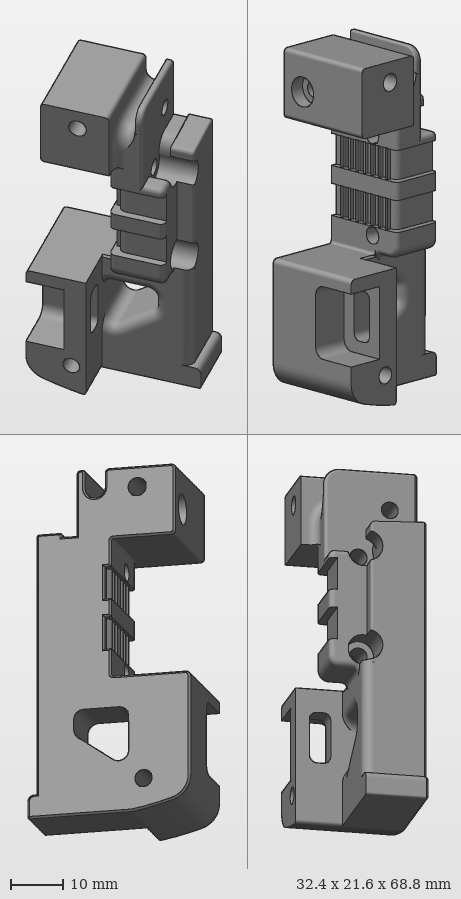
import cadquery as cq
import math

DEPTH = 21.6
HEIGHT = 68.75
FOOT_RIGHT = 32.4
BACK_CHAMFER = 0.4
OVERLAP = 1.0

UPPER_SIZE = 14.0
UPPER_LEFT = 3.0
UPPER_RIGHT = UPPER_LEFT + UPPER_SIZE
UPPER_BOTTOM = HEIGHT - UPPER_SIZE
UPPER_ROUND = 0.85
UPPER_PIN_X = 10.55
UPPER_PIN_Z = 64.65
UPPER_PIN_DIA = 3.6
CLAMP_Y = 16.2
CLAMP_Z = 61.0
CLAMP_DIA = 3.3
CLAMP_HEAD_DIA = 6.0
CLAMP_HEAD_DEPTH = 3.0

COLUMN_LEFT = 15.8
COLUMN_RIGHT = 27.0
COLUMN_FRONT = 3.4
COLUMN_BOTTOM = 27.4
COLUMN_ROUND = 1.1
COLUMN_NOSE_RADIUS = 2.2
ROOT_RADIUS = 1.3
CORNER_RADIUS = 0.6
SHOULDER_TOP = 50.9

MID_Z = 41.0
RIB_HALF = 1.8
BAY_TOP_OFFSET = 8.2
BAY_HEIGHT = BAY_TOP_OFFSET - RIB_HALF
BAY_FRONT = 4.85
BAY_LEFT = 17.1
BAY_ROUND = 1.6
TOOTH_HEIGHT = 0.8
TOOTH_COUNT = 7
TOOTH_PITCH = 2.03
TOOTH_BASE = 1.4
TOOTH_CREST = 0.5
FIRST_TOOTH_Y = 18.55

BLADE_LEFT = 21.0
BLADE_RIGHT = 22.6
BLADE_CORNER = 3.0
BLADE_LEFT_ROUND = 0.45
BLADE_RIGHT_ROUND = 0.7
SADDLE_RADIUS = (BLADE_LEFT - UPPER_RIGHT) / 2
SADDLE_X = UPPER_RIGHT + SADDLE_RADIUS
SADDLE_BEND_Y = 7.5
SADDLE_BEND_Z = 59.0
SADDLE_FRONT = COLUMN_FRONT - SADDLE_RADIUS
SADDLE_BEND = SADDLE_BEND_Y - SADDLE_FRONT
SADDLE_CROWN = SADDLE_BEND_Z + SADDLE_BEND

RAIL_RIGHT = 30.55
WALL_FRONT = 9.25
RAIL_FRONT = 10.7
RAIL_ROUND = 0.45
RAIL_TOP = 56.55
RAIL_TOP_FRONT = 56.0
RAIL_TOP_ROUND = 0.85
LUG_LEFT = 25.55
WALL_ROUND = 2.0
STEP_FRONT = 12.8
STEP_TOP = 55.7
STEP_ROUND = 3.0
SCREW_Y = 10.0
SCREW_OFFSET = 10.0
SCREW_DIA = 3.4
SCREW_HEAD_DIA = 6.0

LOWER_RIGHT = 12.25
LOWER_TOP = 27.25
LOWER_ROUND = 1.0
CHIN_TOP = 6.5
CHIN_X = 3.5
CHIN_Z = 1.8
CHIN_END_X = 11.6
LOWER_TOE_ROUND = 0.6
LEDGE_CHAMFER = 0.4
LOWER_PIN_X = 9.3
LOWER_PIN_Z = 6.4
LOWER_PIN_DIA = 3.4
FOOT_HEIGHT = 4.75
FOOT_ROUND = 1.3
FOOT_TOE_ROUND = 0.4
POCKET_DEPTH_X = 7.75
POCKET_BACK = 9.65
POCKET_BOTTOM = 9.9
POCKET_TOP = 24.45
POCKET_ROUND = 2.15
SLOT_Y = 4.85
SLOT_Z = 17.5
SLOT_WIDTH = 4.2
SLOT_HEIGHT = 10.2
SLOT_ROUND = 1.5
WINDOW_CENTRES = [(14.25, 12.25), (14.25, 19.0), (21.2, 19.0), (21.2, 17.1)]
WINDOW_RADIUS = 2.0
WINDOW_FLARE = 2.05


def box(x0, x1, y0, y1, z0, z1):
    """Axis-aligned box between two corners."""
    return cq.Workplane("XY").box(x1 - x0, y1 - y0, z1 - z0, centered=False).translate((x0, y0, z0))


def rod_x(dia, y, z, x0, x1):
    """Round bar along X."""
    return cq.Workplane("YZ", origin=(x0, y, z)).circle(dia / 2).extrude(x1 - x0)


def rod_y(dia, x, z):
    """Round bar along Y through the full depth."""
    return cq.Workplane("XZ", origin=(x, 0, z)).circle(dia / 2).extrude(-DEPTH)


def upper_block():
    block = box(UPPER_LEFT, UPPER_RIGHT, 0, DEPTH, UPPER_BOTTOM, HEIGHT)
    return block.edges("|Y").edges("<X or >Z").fillet(UPPER_ROUND)


def blade():
    """Thin upright plate; it also forms the right part of the upper column."""
    plate = box(BLADE_LEFT, BLADE_RIGHT, COLUMN_FRONT, DEPTH, SHOULDER_TOP - COLUMN_ROUND, HEIGHT)
    plate = plate.edges("|X and >Z and <Y").fillet(BLADE_CORNER)
    plate = plate.edges(">X").edges("not(<Z or >Y)").fillet(BLADE_RIGHT_ROUND)
    crest = plate.edges("<X").edges("not(<Z or >Y)")
    return crest.fillet(BLADE_LEFT_ROUND)


def saddle_line(x, bottom):
    """Open line at x: up the front from bottom, round the bend, and back along the crown."""
    diagonal = SADDLE_BEND * math.sqrt(0.5)
    bend_middle = (SADDLE_BEND_Y - diagonal, SADDLE_BEND_Z + diagonal)
    return (
        cq.Workplane("YZ", origin=(x, 0, 0))
        .moveTo(SADDLE_FRONT, bottom)
        .lineTo(SADDLE_FRONT, SADDLE_BEND_Z)
        .threePointArc(bend_middle, (SADDLE_BEND_Y, SADDLE_CROWN))
        .lineTo(DEPTH, SADDLE_CROWN)
    )


def saddle():
    """Web between upper block and blade with a half-round trough rolling over its front."""
    floor = UPPER_BOTTOM - CORNER_RADIUS
    left = COLUMN_LEFT + COLUMN_ROUND
    web = (
        saddle_line(left, UPPER_BOTTOM)
        .lineTo(DEPTH, floor)
        .lineTo(COLUMN_FRONT, floor)
        .radiusArc((COLUMN_FRONT - CORNER_RADIUS, UPPER_BOTTOM), -CORNER_RADIUS)
        .close()
        .extrude(BLADE_LEFT + BLADE_LEFT_ROUND - left)
    )
    trough = (
        cq.Workplane("XY", origin=(SADDLE_X, SADDLE_FRONT, floor))
        .circle(SADDLE_RADIUS)
        .sweep(saddle_line(SADDLE_X, floor))
    )
    flush = box(SADDLE_X, BLADE_RIGHT, 0, COLUMN_FRONT, floor, SADDLE_CROWN)
    return web.cut(trough).cut(flush)


def column():
    """Main column with rounded side edges running down and under its nose."""
    nose = COLUMN_NOSE_RADIUS
    body = (
        cq.Workplane("YZ", origin=(COLUMN_LEFT, 0, 0))
        .moveTo(COLUMN_FRONT, SHOULDER_TOP)
        .lineTo(COLUMN_FRONT, COLUMN_BOTTOM + nose)
        .radiusArc((COLUMN_FRONT + nose, COLUMN_BOTTOM), -nose)
        .lineTo(WALL_FRONT - ROOT_RADIUS, COLUMN_BOTTOM)
        .radiusArc((WALL_FRONT, COLUMN_BOTTOM - ROOT_RADIUS), ROOT_RADIUS)
        .lineTo(DEPTH, COLUMN_BOTTOM - ROOT_RADIUS)
        .lineTo(DEPTH, SHOULDER_TOP)
        .close()
        .extrude(COLUMN_RIGHT - COLUMN_LEFT)
    )
    side_edges = body.edges("<X or >X").edges("not(<Z or >Z or >Y)")
    body = side_edges.fillet(COLUMN_ROUND)
    body = body.faces(">Z").edges("<Y").fillet(COLUMN_ROUND)
    neck = box(COLUMN_LEFT, BLADE_RIGHT - BLADE_RIGHT_ROUND, COLUMN_FRONT, DEPTH,
               MID_Z + BAY_TOP_OFFSET, UPPER_BOTTOM + UPPER_ROUND)
    neck = neck.edges("|Z and <X and <Y").fillet(COLUMN_ROUND)
    return body.union(neck)


def left_corner_fill(z, up, front):
    """Concave round between the left face of the column and a block face at height z."""
    tip = z + up * CORNER_RADIUS
    inside = COLUMN_LEFT + COLUMN_ROUND
    return (
        cq.Workplane("XZ", origin=(0, front, 0))
        .moveTo(COLUMN_LEFT - CORNER_RADIUS, z)
        .radiusArc((COLUMN_LEFT, tip), -up * CORNER_RADIUS)
        .lineTo(inside, tip)
        .lineTo(inside, z)
        .close()
        .extrude(front - DEPTH)
    )


def corner_fills():
    """Rounds above the lower block and below the upper one, the latter turning the column's front edge."""
    turn_x = COLUMN_LEFT + COLUMN_ROUND
    turn_y = COLUMN_FRONT + COLUMN_ROUND
    tip = UPPER_BOTTOM - CORNER_RADIUS
    turn = (
        cq.Workplane("XZ", origin=(turn_x, turn_y, 0))
        .moveTo(-COLUMN_ROUND - CORNER_RADIUS, UPPER_BOTTOM)
        .radiusArc((-COLUMN_ROUND, tip), CORNER_RADIUS)
        .lineTo(0, tip)
        .lineTo(0, UPPER_BOTTOM)
        .close()
        .revolve(90, (0, 0, 0), (0, 1, 0))
    )
    upper = left_corner_fill(UPPER_BOTTOM, -1, turn_y)
    return turn.union(upper).union(left_corner_fill(LOWER_TOP, 1, WALL_FRONT))


def belt_bay(z0):
    """Material to remove for one belt bay, leaving the teeth standing."""
    left = COLUMN_LEFT - OVERLAP
    right = COLUMN_RIGHT + OVERLAP
    room = box(left, right, COLUMN_FRONT - OVERLAP, DEPTH, z0, z0 + BAY_HEIGHT)
    core = box(BAY_LEFT, right, BAY_FRONT, DEPTH, z0, z0 + BAY_HEIGHT)
    core = core.edges("|Z and <X and <Y").fillet(BAY_ROUND)
    bay = room.cut(core)
    for i in range(TOOTH_COUNT):
        y = FIRST_TOOTH_Y - i * TOOTH_PITCH
        tooth = (
            cq.Workplane("XY", origin=(BAY_LEFT, y, z0))
            .lineTo(-TOOTH_HEIGHT, 0)
            .lineTo(-TOOTH_HEIGHT, TOOTH_CREST)
            .lineTo(0, TOOTH_BASE)
            .close()
            .extrude(BAY_HEIGHT)
        )
        bay = bay.cut(tooth)
    return bay


def rail():
    """Plate along the right side, topped by a lug, with the step beside it."""
    plate = (
        cq.Workplane("YZ", origin=(LUG_LEFT, 0, 0))
        .moveTo(RAIL_FRONT, COLUMN_BOTTOM)
        .lineTo(RAIL_FRONT, RAIL_TOP_FRONT)
        .lineTo(DEPTH, RAIL_TOP)
        .lineTo(DEPTH, COLUMN_BOTTOM)
        .close()
        .extrude(RAIL_RIGHT - LUG_LEFT)
    )
    plate = plate.faces("<Y").edges(">Z").fillet(RAIL_TOP_ROUND)
    rim = plate.edges("<X or >X").edges("not(<Z or >Y)")
    plate = rim.fillet(RAIL_ROUND)
    step = box(BLADE_LEFT, LUG_LEFT + OVERLAP, STEP_FRONT, DEPTH, MID_Z, STEP_TOP)
    return plate.union(step.edges("|X and <Y and >Z").fillet(STEP_ROUND))


def lower_block():
    block = (
        cq.Workplane("XZ")
        .moveTo(0, LOWER_TOP)
        .lineTo(0, CHIN_TOP)
        .tangentArcPoint((CHIN_X, CHIN_Z), relative=False)
        .tangentArcPoint((CHIN_END_X, 0), relative=False)
        .lineTo(LOWER_RIGHT, 0)
        .lineTo(LOWER_RIGHT, LOWER_TOP)
        .close()
        .extrude(-DEPTH)
    )
    block = block.edges("|Y and <X and >Z").fillet(LOWER_ROUND)
    return block.edges("|Y and >X and <Z").fillet(LOWER_TOE_ROUND)


def wall():
    """Plate with the flared window, the foot and the rounded right edge."""
    plate = box(CHIN_END_X, RAIL_RIGHT, WALL_FRONT, DEPTH, 0, MID_Z - SCREW_OFFSET)
    plate = plate.edges("|Z and >X and <Y").fillet(WALL_ROUND)
    window = (
        cq.Workplane("XZ", origin=(0, WALL_FRONT, 0))
        .polyline(WINDOW_CENTRES)
        .close()
        .offset2D(WINDOW_RADIUS)
        .extrude(WALL_FRONT - DEPTH)
    )
    shelf = box(CHIN_END_X, COLUMN_LEFT, WALL_FRONT, DEPTH, LOWER_TOP, MID_Z)
    plate = plate.cut(shelf)
    ledge = plate.faces("<Y").edges("|X").edges("<X")
    plate = ledge.chamfer(LEDGE_CHAMFER)
    foot = box(COLUMN_RIGHT, FOOT_RIGHT, WALL_FRONT, DEPTH, 0, FOOT_HEIGHT)
    foot = foot.edges("|Y and >X and >Z").fillet(FOOT_ROUND)
    foot = foot.edges("|Y and >X and <Z").fillet(FOOT_TOE_ROUND)
    extended = box(0, LOWER_RIGHT, WALL_FRONT, DEPTH, CHIN_TOP, LOWER_TOP - LOWER_ROUND)
    plate = plate.union(extended).cut(window)
    window_rim = plate.faces("<Y").wires(cq.selectors.LengthNthSelector(0))
    plate = window_rim.fillet(WINDOW_FLARE)
    return plate.union(foot)


def pocket():
    """Open recess in the lower block with a slot through its right wall."""
    front = -POCKET_ROUND - OVERLAP
    recess = box(-OVERLAP, POCKET_DEPTH_X, front, POCKET_BACK, POCKET_BOTTOM, POCKET_TOP)
    recess = recess.edges("|X").fillet(POCKET_ROUND)
    slot = (
        cq.Workplane("YZ", origin=(0, SLOT_Y, SLOT_Z))
        .rect(SLOT_WIDTH, SLOT_HEIGHT)
        .extrude(LOWER_RIGHT)
        .edges("|X")
        .fillet(SLOT_ROUND)
    )
    return recess.union(slot)


def screw_hole(z):
    """Cross hole with a head bore entering from the right."""
    shank = rod_x(SCREW_DIA, SCREW_Y, z, COLUMN_LEFT, RAIL_RIGHT)
    return shank.union(rod_x(SCREW_HEAD_DIA, SCREW_Y, z, BLADE_RIGHT, RAIL_RIGHT))


def clamp_hole():
    hole = rod_x(CLAMP_DIA, CLAMP_Y, CLAMP_Z, 0, FOOT_RIGHT)
    return hole.union(rod_x(CLAMP_HEAD_DIA, CLAMP_Y, CLAMP_Z, 0, UPPER_LEFT + CLAMP_HEAD_DEPTH))


part = column()
for bay_bottom in (MID_Z + RIB_HALF, MID_Z - BAY_TOP_OFFSET):
    part = part.cut(belt_bay(bay_bottom))
part = part.union(wall()).union(lower_block())
part = part.union(rail()).union(blade()).union(upper_block()).union(saddle())
part = part.union(corner_fills())
for screw_z in (MID_Z - SCREW_OFFSET, MID_Z + SCREW_OFFSET):
    part = part.cut(screw_hole(screw_z))
part = part.cut(clamp_hole()).cut(pocket())
part = part.cut(rod_y(UPPER_PIN_DIA, UPPER_PIN_X, UPPER_PIN_Z))
part = part.cut(rod_y(LOWER_PIN_DIA, LOWER_PIN_X, LOWER_PIN_Z))

back_outline = part.faces(">Y").wires(cq.selectors.LengthNthSelector(-1))
result = back_outline.chamfer(BACK_CHAMFER)